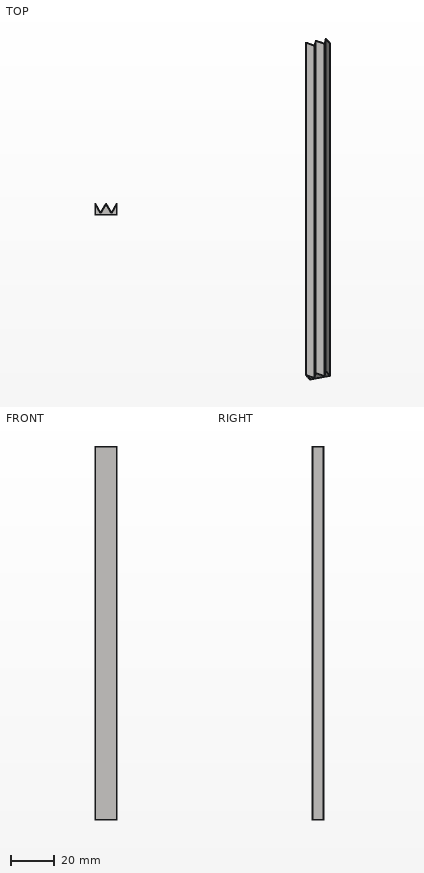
import cadquery as cq
import math

width = 10.0
depth = 5.2
length = 172.0
groove_count = 2
groove_angle = 60.0

groove_width = width / groove_count
groove_depth = groove_width / 2 / math.tan(math.radians(groove_angle / 2))
back_y = -depth / 2
crest_y = depth / 2
root_y = crest_y - groove_depth

section = [(-width / 2, back_y), (width / 2, back_y), (width / 2, crest_y)]
for groove in range(groove_count):
    right_crest_x = width / 2 - groove * groove_width
    section.append((right_crest_x - groove_width / 2, root_y))
    section.append((right_crest_x - groove_width, crest_y))

result = (
    cq.Workplane("XY")
    .workplane(offset=-length / 2)
    .polyline(section)
    .close()
    .extrude(length)
)